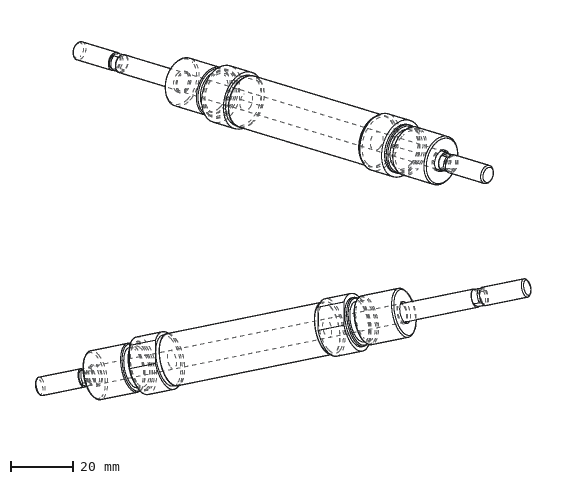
import cadquery as cq

rod_length = 179.0
barrel_middle = 101.9
housing_length = 114.0
tube_length = 57.0

rod_radius = 3.0
tip_chamfer = 0.5
thread_length = 16.0
rod_neck_radius = 2.9
relief_radius = 2.5
relief_length = 0.9
rod_neck_length = 3.0
flat_width = 5.0

tube_radius = 8.6

nose_radius = 8.0
nose_length = 14.5
nose_chamfer = 0.5
cap_neck_radius = 6.6
cap_neck_length = 2.1
cap_neck_chamfer = 0.4
collar_start = 17.7
collar_length = 9.5
collar_radius = 9.5
collar_flat = 8.6
shoulder_radius = 8.5
mouth_radius = 3.5
mouth_depth = 1.0

cap_length = (housing_length - tube_length) / 2
left_face = barrel_middle - housing_length / 2


def turned(profile):
    """Revolve (x, radius) points, closed along the X axis."""
    return cq.Workplane("XY").polyline(profile).close().revolve(360, (0, 0, 0), (1, 0, 0))


def mirrored(body):
    """Copy of a body on the other side of the middle of the housing."""
    return body.mirror("YZ", (barrel_middle, 0, 0))


def make_rod():
    """Rod with a thread, a relieved neck and two spanner flats at each end."""
    tip_radius = rod_radius - tip_chamfer
    neck_end = thread_length + rod_neck_length
    left_half = [
        (0, 0),
        (0, tip_radius),
        (tip_chamfer, rod_radius),
        (thread_length, rod_radius),
        (thread_length, relief_radius),
        (thread_length + relief_length, rod_neck_radius),
        (neck_end, rod_neck_radius),
        (neck_end, rod_radius),
    ]
    right_half = [(rod_length - x, radius) for x, radius in reversed(left_half)]
    rod = turned(left_half + right_half)

    flat_middle = thread_length + rod_neck_length / 2
    flat_depth = rod_radius - flat_width / 2
    cutter = cq.Workplane("XY").box(rod_neck_length, 2 * rod_radius, flat_depth)
    cutter_height = (flat_width + flat_depth) / 2
    for x in (flat_middle, rod_length - flat_middle):
        for z in (cutter_height, -cutter_height):
            rod = rod.cut(cutter.translate((x, 0, z)))
    return rod


def make_tube():
    """Barrel between the end caps, bored to carry the rod."""
    tube = cq.Workplane("YZ").circle(tube_radius).circle(rod_radius).extrude(tube_length)
    return tube.translate((left_face + cap_length, 0, 0))


def make_left_cap():
    """End cap: threaded nose, neck, collar with one flat, and shoulder against the tube."""
    neck_end = nose_length + cap_neck_length
    collar_end = collar_start + collar_length
    profile = [
        (0, mouth_radius),
        (0, nose_radius - nose_chamfer),
        (nose_chamfer, nose_radius),
        (nose_length - cap_neck_chamfer, nose_radius),
        (nose_length, nose_radius - cap_neck_chamfer),
        (nose_length, cap_neck_radius),
        (neck_end, cap_neck_radius),
        (neck_end, nose_radius - cap_neck_chamfer),
        (neck_end + cap_neck_chamfer, nose_radius),
        (collar_start, nose_radius),
        (collar_start, collar_radius),
        (collar_end, collar_radius),
        (collar_end, shoulder_radius),
        (cap_length, shoulder_radius),
        (cap_length, rod_radius),
        (mouth_depth, rod_radius),
        (mouth_depth, mouth_radius),
    ]
    trim = collar_radius - collar_flat
    beyond_flat = cq.Workplane("XY").box(cap_length, trim, 2 * collar_radius).translate(
        (cap_length / 2, collar_flat + trim / 2, 0)
    )
    return turned(profile).cut(beyond_flat).translate((left_face, 0, 0))


rod = make_rod()
tube = make_tube()
left_cap = make_left_cap()
end_caps = [left_cap, mirrored(left_cap)]

result = cq.Compound.makeCompound([rod.val(), tube.val()] + [cap.val() for cap in end_caps])